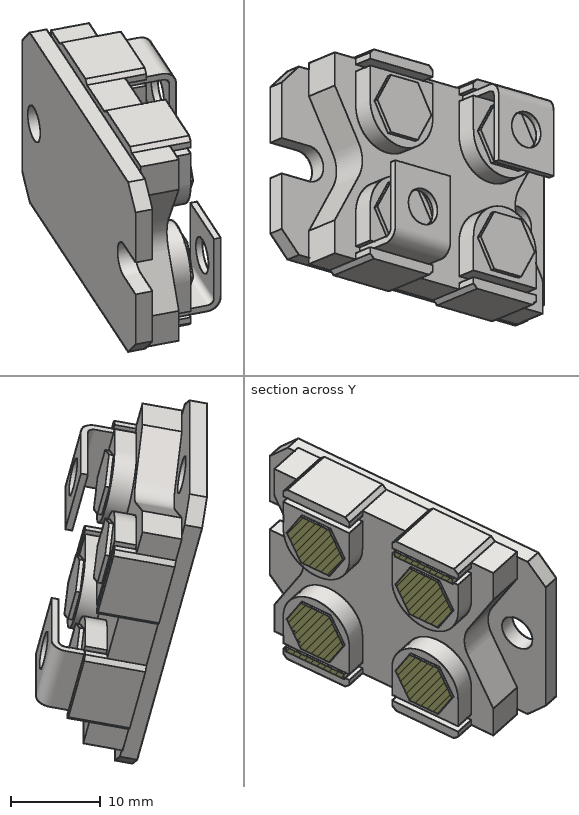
import cadquery as cq
import math

PLATE_LENGTH = 38.1
PLATE_HEIGHT = 22.4
PLATE_THICKNESS = 2.0
CORNER_CUT = 2.5

BODY_LENGTH = 30.2
BODY_HEIGHT = 23.9
BODY_TOP = 6.5
MOUNT_X = BODY_LENGTH / 2
MOUNT_DIAMETER = 4.2
NOTCH_RADIUS = 4.0
NOTCH_FLANK_ANGLE = 60

OVERALL_HEIGHT = 24.9
PAD_X = 7.5
PAD_Z = 6.35
PAD_RADIUS = 4.55
PAD_TOP = 9.0
PAD_OUTER_Z = OVERALL_HEIGHT / 2

NUT_ACROSS_FLATS = 6.8
NUT_TOP = 9.5

TERMINAL_WIDTH = 8.0
TERMINAL_THICKNESS = 0.8
TERMINAL_TOP = 12.72
TERMINAL_OUTER_Z = PLATE_HEIGHT / 2
TERMINAL_BEND_RADIUS = 1.6
TERMINAL_HOLE_DIAMETER = 4.2
TERMINAL_END_Z = PAD_Z - PAD_RADIUS

LEFT, RIGHT = -1, 1
LOWER, UPPER = -1, 1


def prism(outline, y_start, y_end):
    """Extrude an outline drawn in the XZ plane from y_start to y_end."""
    return outline.extrude(-(y_end - y_start)).translate((0, y_start, 0))


def block(x_range, y_range, z_range):
    """Box spanning the given (low, high) ranges."""
    size = [high - low for low, high in (x_range, y_range, z_range)]
    corner = (x_range[0], y_range[0], z_range[0])
    return cq.Workplane("XY").box(*size, centered=False).translate(corner)


def make_plate():
    """Plate with cut corners, a round hole on the left and an open slot on the right."""
    outline = cq.Workplane("XZ").rect(PLATE_LENGTH, PLATE_HEIGHT)
    plate = prism(outline, 0, PLATE_THICKNESS).edges("|Y").chamfer(CORNER_CUT)

    hole = cq.Workplane("XZ").center(-MOUNT_X, 0).circle(MOUNT_DIAMETER / 2)
    slot_end = cq.Workplane("XZ").center(MOUNT_X, 0).circle(MOUNT_DIAMETER / 2)
    slot = block(
        (MOUNT_X, PLATE_LENGTH / 2),
        (0, PLATE_THICKNESS),
        (-MOUNT_DIAMETER / 2, MOUNT_DIAMETER / 2),
    )
    for cutter in (prism(hole, 0, PLATE_THICKNESS), prism(slot_end, 0, PLATE_THICKNESS), slot):
        plate = plate.cut(cutter)
    return plate


def make_body():
    """Housing block with a round-bottomed V notch around each mounting centre."""
    body = prism(cq.Workplane("XZ").rect(BODY_LENGTH, BODY_HEIGHT), PLATE_THICKNESS, BODY_TOP)
    angle = math.radians(NOTCH_FLANK_ANGLE)
    tangent_depth = NOTCH_RADIUS * math.sin(angle)
    tangent_z = NOTCH_RADIUS * math.cos(angle)
    mouth_z = NOTCH_RADIUS / math.cos(angle)
    for side in (LEFT, RIGHT):
        end_x = side * MOUNT_X
        tangent_x = end_x - side * tangent_depth
        notch = (
            cq.Workplane("XZ")
            .moveTo(end_x, -mouth_z)
            .lineTo(tangent_x, -tangent_z)
            .threePointArc((end_x - side * NOTCH_RADIUS, 0), (tangent_x, tangent_z))
            .lineTo(end_x, mouth_z)
            .close()
        )
        body = body.cut(prism(notch, PLATE_THICKNESS, BODY_TOP))
    return body


def make_pad(side, level):
    """U-shaped pad with chamfered outer corners, a through slot for the terminal and a nut."""
    x = side * PAD_X
    shoulder_z = level * BODY_HEIGHT / 2
    flat = TERMINAL_WIDTH / 2
    outline = (
        cq.Workplane("XZ")
        .moveTo(x - PAD_RADIUS, level * PAD_Z)
        .lineTo(x - PAD_RADIUS, shoulder_z)
        .lineTo(x - flat, level * PAD_OUTER_Z)
        .lineTo(x + flat, level * PAD_OUTER_Z)
        .lineTo(x + PAD_RADIUS, shoulder_z)
        .lineTo(x + PAD_RADIUS, level * PAD_Z)
        .threePointArc((x, level * (PAD_Z - PAD_RADIUS)), (x - PAD_RADIUS, level * PAD_Z))
        .close()
    )
    pad = prism(outline, PLATE_THICKNESS, PAD_TOP)

    slot_z = sorted((level * (TERMINAL_OUTER_Z - TERMINAL_THICKNESS), level * TERMINAL_OUTER_Z))
    pad = pad.cut(block((x - PAD_RADIUS, x + PAD_RADIUS), (BODY_TOP, PAD_TOP), slot_z))

    across_corners = NUT_ACROSS_FLATS / math.cos(math.pi / 6)
    nut = cq.Workplane("XZ").center(x, level * PAD_Z).polygon(6, across_corners)
    return pad.union(prism(nut, BODY_TOP, NUT_TOP))


def make_terminal(side, level):
    """Strip rising from the housing, bent over its nut and pierced for the screw."""
    x_start = side * PAD_X - TERMINAL_WIDTH / 2
    inner_radius = TERMINAL_BEND_RADIUS - TERMINAL_THICKNESS
    bend_y = TERMINAL_TOP - TERMINAL_BEND_RADIUS
    bend_z = TERMINAL_OUTER_Z - TERMINAL_BEND_RADIUS
    inner_y = TERMINAL_TOP - TERMINAL_THICKNESS
    inner_z = TERMINAL_OUTER_Z - TERMINAL_THICKNESS
    diagonal = math.sqrt(0.5)
    outer_mid = TERMINAL_BEND_RADIUS * diagonal
    inner_mid = inner_radius * diagonal
    strip = (
        cq.Workplane("YZ", origin=(x_start, 0, 0))
        .moveTo(BODY_TOP, level * TERMINAL_OUTER_Z)
        .lineTo(bend_y, level * TERMINAL_OUTER_Z)
        .threePointArc(
            (bend_y + outer_mid, level * (bend_z + outer_mid)), (TERMINAL_TOP, level * bend_z)
        )
        .lineTo(TERMINAL_TOP, level * TERMINAL_END_Z)
        .lineTo(inner_y, level * TERMINAL_END_Z)
        .lineTo(inner_y, level * bend_z)
        .threePointArc(
            (bend_y + inner_mid, level * (bend_z + inner_mid)), (bend_y, level * inner_z)
        )
        .lineTo(BODY_TOP, level * inner_z)
        .close()
        .extrude(TERMINAL_WIDTH)
    )
    hole = cq.Workplane("XZ").center(side * PAD_X, level * PAD_Z).circle(TERMINAL_HOLE_DIAMETER / 2)
    return strip.cut(prism(hole, inner_y, TERMINAL_TOP))


result = make_plate().union(make_body())
for side in (LEFT, RIGHT):
    for level in (LOWER, UPPER):
        result = result.union(make_pad(side, level))

for side, level in ((LEFT, UPPER), (RIGHT, LOWER)):
    result = result.union(make_terminal(side, level))